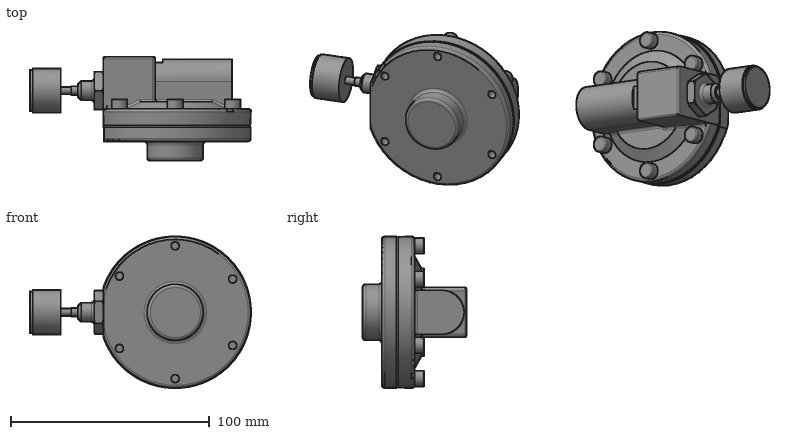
import cadquery as cq
import math


overall_length = 111.3

cover_radius = 38.2
cover_thickness = 7.2
cover_flat_x = -35.9
rim_fillet = 1.6
hub_radius = 14.1
hub_length = 9.7
hub_fillet = 1.6
screw_hole_diameter = 4.0

gasket_radius = 37.9
gasket_thickness = 1.0

side_x = -36.2
flange_front_radius = 38.0
flange_rear_diameter = 76.5
flange_rear_y = 9.2
cone_base_radius = 28.4
plateau_radius = 22.3
plateau_y = 12.7

block_right_x = -9.9
block_height = 25.2
block_rear_y = 35.4
block_corner_fillet = 1.7
block_edge_fillet = 1.0
barrel_right_x = 28.7
barrel_radius = 11.0
barrel_axis_y = 23.2
notch_right_x = -6.2
notch_depth = 1.7
root_fillet = 1.5

screw_circle_radius = 33.4
screw_angles = [30, 90, 147, 213, 270, 330]
screw_head_radius = 4.0
screw_head_height = 4.9
screw_head_fillet = 0.7

knob_axis_y = 18.4
hex_thickness = 4.6
hex_corner_radius = 11.0
hex_chamfer_radius = 10.2
hex_chamfer_depth = 0.5
bushing_radius = 4.9
bushing_length = 8.1
bushing_chamfer = 1.6
bushing_root_fillet = 1.5
stem_thick_radius = 2.2
stem_thick_length = 3.5
stem_thin_radius = 1.9
stem_thin_length = 5.1
knob_radius = 11.2
cap_radius = 10.5
cap_length = 1.3

flange_rear_radius = flange_rear_diameter / 2
block_bottom_z = -block_height / 2
block_top_z = block_height / 2
root_top_y = plateau_y + root_fillet
oversize_reach = 1.5 * flange_rear_radius
selection_margin = 0.1
hex_left_x = side_x - hex_thickness
bushing_left_x = hex_left_x - bushing_length
stem_left_x = bushing_left_x - stem_thick_length - stem_thin_length
knob_left_x = flange_rear_radius - overall_length + cap_length
knob_length = stem_left_x - knob_left_x


def box(x_range, y_range, z_range):
    """Box between two limits along each axis."""
    size = [high - low for low, high in (x_range, y_range, z_range)]
    corner = (x_range[0], y_range[0], z_range[0])
    return cq.Workplane("XY").box(*size, centered=False).translate(corner)


def disc_y(radius, front_y, rear_y):
    """Cylinder on the disc axis between two Y positions."""
    return cq.Workplane("XZ", origin=(0, front_y, 0)).circle(radius).extrude(front_y - rear_y)


def rod_x(radius, right_x, length):
    """Cylinder on the knob axis, running from right_x toward -X."""
    return cq.Workplane("YZ", origin=(right_x, knob_axis_y, 0)).circle(radius).extrude(-length)


def cut_flat(body, flat_x):
    """Remove everything to the left of a flat at flat_x."""
    reach = 2 * flange_rear_radius
    return body.intersect(box((flat_x, flat_x + 2 * reach), (-reach, reach), (-reach, reach)))


def edges_inside(reach_x, front_y, rear_y, reach_z):
    """Selector for edges wholly inside a box centred on the disc axis."""
    return cq.selectors.BoxSelector(
        (-reach_x - selection_margin, front_y - selection_margin, -reach_z - selection_margin),
        (reach_x + selection_margin, rear_y + selection_margin, reach_z + selection_margin),
        boundingbox=True,
    )


def screw_centres():
    """X and Z of each screw on the screw circle."""
    centres = []
    for angle in screw_angles:
        turn = math.radians(angle)
        centres.append((screw_circle_radius * math.cos(turn), screw_circle_radius * math.sin(turn)))
    return centres


def make_cover():
    """Front disc with a closed hub, a side flat and through holes for the screws."""
    plate = disc_y(cover_radius, 0, -cover_thickness).faces("<Y").edges().fillet(rim_fillet)
    hub_front_y = -cover_thickness - hub_length
    hub = disc_y(hub_radius, -cover_thickness, hub_front_y).faces("<Y").edges().fillet(hub_fillet)
    cover = plate.union(hub)
    root = edges_inside(hub_radius + hub_fillet, -cover_thickness, -cover_thickness, hub_radius + hub_fillet)
    cover = cover.edges(root).fillet(hub_fillet)
    cover = cut_flat(cover, cover_flat_x)
    holes = (
        cq.Workplane("XZ")
        .pushPoints(screw_centres())
        .circle(screw_hole_diameter / 2)
        .extrude(cover_thickness)
    )
    return cover.cut(holes)


def make_gasket():
    """Thin disc clamped between cover and housing."""
    return cut_flat(disc_y(gasket_radius, gasket_thickness, 0), side_x)


def make_flange():
    """Drafted disc with a rounded rear rim, carried up to the top of the root fillets."""
    rim_top_radius = flange_rear_radius - rim_fillet
    profile = (
        cq.Workplane("XY")
        .moveTo(0, gasket_thickness)
        .lineTo(flange_front_radius, gasket_thickness)
        .lineTo(flange_rear_radius, flange_rear_y - rim_fillet)
        .radiusArc((rim_top_radius, flange_rear_y), -rim_fillet)
        .lineTo(rim_top_radius, root_top_y)
        .lineTo(0, root_top_y)
        .close()
    )
    flange = profile.revolve(360, (0, 0, 0), (0, 1, 0))
    return cut_flat(flange, side_x)


def make_raised_plate():
    """Oversized plate with the conical rise at its centre."""
    profile = (
        cq.Workplane("XY")
        .moveTo(0, gasket_thickness)
        .lineTo(oversize_reach, gasket_thickness)
        .lineTo(oversize_reach, flange_rear_y)
        .lineTo(cone_base_radius, flange_rear_y)
        .lineTo(plateau_radius, plateau_y)
        .lineTo(0, plateau_y)
        .close()
    )
    return profile.revolve(360, (0, 0, 0), (0, 1, 0))


def make_block(left_x):
    """Rectangular block with rounded rear and right-hand edges."""
    block = box((left_x, block_right_x), (gasket_thickness, block_rear_y), (block_bottom_z, block_top_z))
    block = block.edges("|Y and >X").fillet(block_corner_fillet)
    return block.faces(">Y").edges().fillet(block_edge_fillet)


def make_barrel():
    """Round-topped barrel with a shallow notch where it leaves the block."""
    barrel_start_x = block_right_x - 2 * block_corner_fillet
    barrel_length = barrel_right_x - barrel_start_x
    barrel_rear_y = barrel_axis_y + barrel_radius
    barrel = (
        cq.Workplane("YZ", origin=(barrel_start_x, 0, 0))
        .moveTo(gasket_thickness, -barrel_radius)
        .lineTo(barrel_axis_y, -barrel_radius)
        .threePointArc((barrel_rear_y, 0), (barrel_axis_y, barrel_radius))
        .lineTo(gasket_thickness, barrel_radius)
        .close()
        .extrude(barrel_length)
    )
    notch = box(
        (barrel_start_x, notch_right_x),
        (barrel_rear_y - notch_depth, barrel_rear_y),
        (-barrel_radius, barrel_radius),
    )
    return barrel.cut(notch)


def make_housing():
    """Flange, block and barrel in one casting, with the screw heads on its rear face."""
    barrel = make_barrel()
    base = make_raised_plate().union(make_block(-oversize_reach)).union(barrel)
    root = edges_inside(oversize_reach, flange_rear_y, plateau_y, block_top_z)
    base = base.edges(root).fillet(root_fillet).intersect(make_flange())
    housing = base.union(make_block(side_x)).union(barrel)
    heads = (
        cq.Workplane("XZ", origin=(0, flange_rear_y, 0))
        .pushPoints(screw_centres())
        .circle(screw_head_radius)
        .extrude(-screw_head_height)
        .faces(">Y")
        .edges()
        .fillet(screw_head_fillet)
    )
    return housing.union(heads)


def make_fitting():
    """Hexagon with chamfered corners, a filleted bushing and a chamfered bushing end."""
    hexagon = (
        cq.Workplane("YZ", origin=(side_x, knob_axis_y, 0))
        .transformed(rotate=(0, 0, 90))
        .polygon(6, 2 * hex_corner_radius)
        .extrude(-hex_thickness)
    )
    corner_length = hex_corner_radius - hex_chamfer_radius
    envelope = rod_x(hex_corner_radius, side_x, hex_thickness).edges()
    envelope = envelope.chamfer(hex_chamfer_depth, corner_length)
    bushing = rod_x(bushing_radius, hex_left_x, bushing_length).faces("<X").chamfer(bushing_chamfer)
    fitting = hexagon.intersect(envelope).union(bushing)
    root_point = (hex_left_x, knob_axis_y, bushing_radius)
    return fitting.edges(cq.selectors.NearestToPointSelector(root_point)).fillet(bushing_root_fillet)


def make_stem():
    """Stepped rod between the bushing and the knob."""
    thick = rod_x(stem_thick_radius, bushing_left_x, stem_thick_length)
    thin = rod_x(stem_thin_radius, bushing_left_x - stem_thick_length, stem_thin_length)
    return thick.union(thin)


def make_knob():
    """Plain round adjusting knob."""
    return rod_x(knob_radius, stem_left_x, knob_length)


def make_knob_cap():
    """Disc on the outer end of the knob."""
    return rod_x(cap_radius, knob_left_x, cap_length)


cover = make_cover()
gasket = make_gasket()
housing = make_housing()
fitting = make_fitting()
stem = make_stem()
knob = make_knob()
knob_cap = make_knob_cap()

result = cq.Compound.makeCompound(
    [
        cover.val(),
        gasket.val(),
        housing.val(),
        fitting.val(),
        stem.val(),
        knob.val(),
        knob_cap.val(),
    ]
)